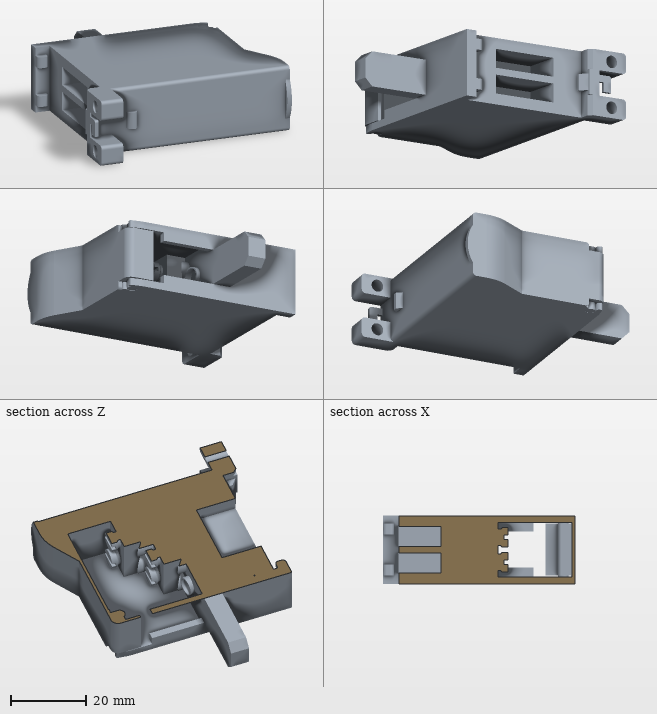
import cadquery as cq
import math


thickness = 18.2
half = thickness / 2
depth = 57.2
body_width = 42.0
edge_radius = 1.05
shoulder_y = 51.1
slope_start_x = 24.7
slope_angle = math.radians(30.5)
crown_radius = 11.85
crown_end_x = 38.0
corner_radius = 2.1
body_bottom_y = 4.1

leg_width = 3.0
hook_tip_x = 5.2
hook_top_y = 3.0
hook_radius = 1.05
hook_width = 3.0
hook_pitch = 10.9

foot_left_x = 38.95
foot_right_x = 50.5
foot_top_y = 6.2
arm_gap = 7.0
foot_chamfer = 1.1
hole_diameter = 3.4
hole_x = 45.9
hole_pitch = 12.55

clip_width = 4.5
clip_end_x = 45.8
clip_plate = 1.05
clip_window_x = 43.5
clip_window_top_z = 0.35
clip_corner_radius = 0.7
latch_tip_x = 37.0
latch_nose = 0.85

relief_reach = 1.5
nub_bottom_y = 10.5
nub_height = 3.2
nub_chamfer = 1.05
nub_arc_point = (0.85, 0.3)
lip_thickness = 1.3
lip_half_width = 5.45

blade_length = 19.2
blade_bottom_y = 19.9
blade_top_y = 25.1
blade_height = 9.6
blade_chamfer = 2.15

slot_left_x = 11.9
slot_length = 18.2
slot_height = 5.15
slot_pitch = 7.05
slot_depth = 11.15

cavity_height = 14.3
front_wall = 1.9
top_wall = 0.9
window_step_y = 40.0
tread_levels = [blade_top_y, 30.6, 38.05]
riser_x = [15.3, 25.1, 34.85]

screw_pitch = 6.6
head_radius = 2.65
neck_radius = 2.2
neck_height = 0.6
cone_height = 0.4
screw_height = 2.65
slit_width = 1.05
riser_gap = 4.3
boss_rises = [2.5, 4.6]
boss_drop = 1.9
sleeve_x = 9.75
sleeve_bore_radius = 2.2
sleeve_front_height = 1.0
sleeve_back_height = 1.9

cover_height = 13.9
cover_bottom_y = 43.2
cover_block_x = 4.7
cover_block_y = 47.25
cover_wall = 0.9
pin_x = 3.15
pin_y = 47.95
pin_radius = 1.4
pin_recess = 0.1

notch_right_x = 5.85
notch_floor_y = 50.05
flank_bottom_y = 46.15
flank_arc_middle = (0.1, 47.1)
flank_arc_end = (0.2, 48.0)
flank_top = (0.4, 49.6)
ear_arc_middle = (0.55, 49.9)
ear_left_x = 0.85
ear_right_x = 1.3
left_throat_middle = (1.75, 49.7)
left_throat_end = (1.95, 48.65)
right_throat_start = (4.3, 48.65)
right_throat_middle = (4.4, 49.6)
right_throat_end_x = 4.75
bar_width = 0.9
bar_round = 0.85


def box(x0, x1, y0, y1, z0, z1):
    """Box given by its limits along each axis."""
    return cq.Workplane("XY").box(x1 - x0, y1 - y0, z1 - z0, centered=False).translate((x0, y0, z0))


def slab(sketch, height):
    """Extrude a plan outline evenly to both sides of the middle plane."""
    return sketch.extrude(height / 2, both=True)


def post(x, y, z, radius, height):
    """Cylinder standing along +Y, with its seam facing the left side."""
    base = cq.Plane(origin=(x, y, z), xDir=(-1, 0, 0), normal=(0, 1, 0))
    return cq.Workplane(base).circle(radius).extrude(height)


def make_housing():
    crown_start_x = crown_end_x - crown_radius * math.sin(slope_angle)
    crown_start_y = depth - crown_radius * (1 - math.cos(slope_angle))
    crown_mid_x = crown_end_x - crown_radius * math.sin(slope_angle / 2)
    crown_mid_y = depth - crown_radius * (1 - math.cos(slope_angle / 2))
    outline = (
        cq.Workplane("XY")
        .moveTo(0, body_bottom_y)
        .lineTo(body_width, body_bottom_y)
        .lineTo(body_width, depth)
        .lineTo(crown_end_x, depth)
        .threePointArc((crown_mid_x, crown_mid_y), (crown_start_x, crown_start_y))
        .lineTo(slope_start_x, shoulder_y)
        .lineTo(0, shoulder_y)
        .close()
    )
    housing = slab(outline, thickness)
    housing = housing.edges("|Y and >X").fillet(edge_radius)
    housing = housing.edges(cq.selectors.NearestToPointSelector((0, shoulder_y, 0))).fillet(corner_radius)
    return housing.union(box(0, leg_width, 0, body_bottom_y, -half, half))


def make_leg_hooks():
    hook = box(leg_width, hook_tip_x, 0, hook_top_y, -hook_width / 2, hook_width / 2)
    hook = hook.edges("|Z and >X").fillet(hook_radius)
    return [hook.translate((0, 0, side * hook_pitch / 2)) for side in (-1, 1)]


def make_foot():
    foot = box(foot_left_x, foot_right_x, 0, foot_top_y, -half, half)
    foot = foot.cut(box(body_width, foot_right_x, 0, foot_top_y, -arm_gap / 2, arm_gap / 2))
    foot = foot.edges("|Y and >X").fillet(edge_radius)
    for side in (-1, 1):
        foot = foot.cut(post(hole_x, 0, side * hole_pitch / 2, hole_diameter / 2, foot_top_y))
        corner = (
            cq.Workplane("XY", origin=(foot_left_x, 0, side * arm_gap / 2))
            .polyline([(0, 0), (foot_chamfer, 0), (0, foot_chamfer)])
            .close()
            .extrude(side * (half - arm_gap / 2))
        )
        foot = foot.cut(corner)
    return foot


def make_clip():
    hook = box(body_width, clip_end_x, 0, clip_plate, -clip_width / 2, clip_width / 2)
    hook = hook.edges("|Y and >X and >Z").fillet(clip_corner_radius)
    hook = hook.cut(box(body_width, clip_window_x, 0, clip_plate, -clip_width / 2, clip_window_top_z))
    latch = (
        cq.Workplane("XY")
        .moveTo(latch_tip_x, hook_top_y)
        .lineTo(foot_left_x, hook_top_y)
        .lineTo(foot_left_x, foot_chamfer / 2)
        .lineTo(latch_tip_x, hook_top_y - latch_nose)
        .close()
    )
    return [hook, slab(latch, clip_width)]


def make_right_face_details():
    nub = (
        cq.Workplane("XY", origin=(body_width, nub_bottom_y, 0))
        .threePointArc(nub_arc_point, (relief_reach, nub_chamfer))
        .lineTo(relief_reach, nub_height - nub_chamfer)
        .lineTo(0, nub_height)
        .close()
    )
    lip = (
        cq.Workplane("XZ", origin=(0, depth, 0))
        .moveTo(body_width, -lip_half_width)
        .threePointArc((body_width + relief_reach, 0), (body_width, lip_half_width))
        .lineTo(body_width - edge_radius, lip_half_width)
        .lineTo(body_width - edge_radius, -lip_half_width)
        .close()
        .extrude(lip_thickness)
    )
    return [slab(nub, clip_width), lip]


def make_blade():
    blade = box(-blade_length, 0, blade_bottom_y, blade_top_y, -blade_height / 2, blade_height / 2)
    return blade.edges("|Y and <X").chamfer(blade_chamfer)


def make_slots():
    slot = box(slot_left_x, slot_left_x + slot_length, body_bottom_y, body_bottom_y + slot_depth,
               -slot_height / 2, slot_height / 2)
    return [slot.translate((0, 0, side * slot_pitch / 2)) for side in (-1, 1)]


def make_cavity():
    """Stair-shaped chamber with a two-width window through the left wall."""
    ceiling_y = shoulder_y - top_wall
    z = cavity_height / 2
    parts = [box(front_wall, x, y, ceiling_y, -z, z) for x, y in zip(riser_x, tread_levels)]
    narrow_z = blade_height / 2
    parts.append(box(0, front_wall, blade_top_y, window_step_y, -narrow_z, narrow_z))
    parts.append(box(0, front_wall, window_step_y, shoulder_y, -z, z))
    return parts


def make_screw(x, y, z):
    """Slotted screw standing on a tread."""
    head_y = y + neck_height + cone_height
    head_height = screw_height - neck_height - cone_height
    cone = (
        cq.Workplane(cq.Plane(origin=(x, y + neck_height, z), xDir=(-1, 0, 0), normal=(0, 1, 0)))
        .circle(neck_radius)
        .workplane(offset=cone_height)
        .circle(head_radius)
        .loft()
    )
    screw = post(x, y, z, neck_radius, neck_height).union(cone)
    screw = screw.union(post(x, head_y, z, head_radius, head_height))
    top = y + screw_height
    slit = box(x - head_radius, x + head_radius, top - slit_width, top, z - slit_width / 2, z + slit_width / 2)
    return screw.cut(slit)


def make_boss(x, y, z, rise):
    """Round boss on a riser; its top slopes down toward the riser."""
    top_y = y + rise
    material_above = (
        cq.Workplane("XY")
        .moveTo(x - 2 * head_radius, top_y + boss_drop)
        .lineTo(x + 2 * head_radius, top_y - 3 * boss_drop)
        .lineTo(x + 2 * head_radius, top_y + boss_drop)
        .close()
    )
    return post(x, y, z, head_radius, rise + boss_drop / 2).cut(slab(material_above, thickness))


def make_sleeve():
    """Short tube on the lowest tread; its rim rises away from the window."""
    left = sleeve_x - head_radius
    right = sleeve_x + head_radius
    profile = (
        cq.Workplane("XY", origin=(0, blade_top_y, 0))
        .polyline([(left, 0), (right, 0), (right, sleeve_back_height), (left, sleeve_front_height)])
        .close()
    )
    tube = post(sleeve_x, blade_top_y, 0, head_radius, sleeve_back_height)
    tube = tube.cut(post(sleeve_x, blade_top_y, 0, sleeve_bore_radius, sleeve_back_height))
    return tube.intersect(slab(profile, 2 * head_radius))


def make_terminals():
    parts = [make_sleeve()]
    for side in (-1, 1):
        z = side * screw_pitch / 2
        parts += [make_boss(x, y, z, rise) for x, y, rise in zip(riser_x, tread_levels, boss_rises)]
        parts += [make_screw(x + riser_gap, y, z) for x, y in zip(riser_x, tread_levels[1:])]
    return parts


def make_hinge_notch():
    """Opening through both side plates for the hinge, with the round pin socket."""
    outline = (
        cq.Workplane("XY")
        .moveTo(0, flank_bottom_y)
        .threePointArc(flank_arc_middle, flank_arc_end)
        .lineTo(*flank_top)
        .threePointArc(ear_arc_middle, (ear_left_x, notch_floor_y))
        .lineTo(ear_right_x, notch_floor_y)
        .threePointArc(left_throat_middle, left_throat_end)
        .lineTo(pin_x, pin_y)
        .lineTo(*right_throat_start)
        .threePointArc(right_throat_middle, (right_throat_end_x, notch_floor_y))
        .lineTo(notch_right_x, notch_floor_y)
        .lineTo(notch_right_x, shoulder_y)
        .lineTo(0, shoulder_y)
        .close()
    )
    socket = slab(cq.Workplane("XY").center(pin_x, pin_y).circle(pin_radius), thickness)
    return slab(outline, thickness).union(socket)


def make_cover():
    """Cover with a rounded corner, hung between the side plates on a pin."""
    z = cover_height / 2
    cover = box(0, cover_block_x, cover_block_y, shoulder_y, -z, z)
    cover = cover.edges("|Z and <X and >Y").fillet(corner_radius)
    cover = cover.union(box(0, cover_wall, cover_bottom_y, cover_block_y, -z, z))
    cover = cover.union(box(cover_block_x, notch_right_x, shoulder_y - top_wall, shoulder_y, -z, z))
    pin = slab(cq.Workplane("XY").center(pin_x, pin_y).circle(pin_radius), thickness - 2 * pin_recess)
    return [cover, pin]


def make_notch_bar():
    """Bar between the right ends of the hinge notches, rounded at both outer corners."""
    bar = box(notch_right_x - bar_width, notch_right_x, notch_floor_y, shoulder_y, -half, half)
    return [bar.edges("|Y and <X").fillet(bar_round)]


result = make_housing().union(make_foot())
for cutter in make_cavity() + make_slots() + [make_hinge_notch()]:
    result = result.cut(cutter)

additions = make_leg_hooks() + make_clip() + make_right_face_details() + [make_blade()]
for addition in additions + make_terminals() + make_cover() + make_notch_bar():
    result = result.union(addition)